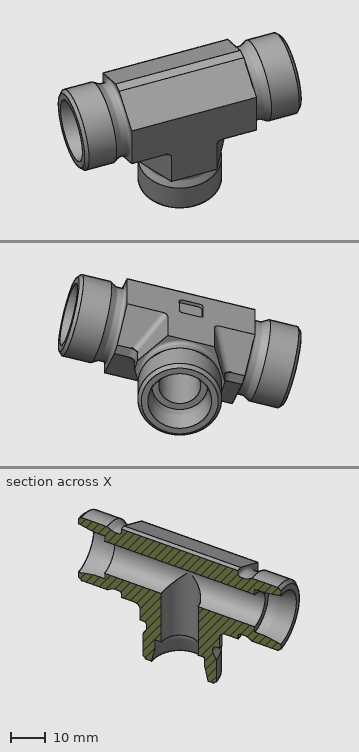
import cadquery as cq
import math

port_end = 33.0
run_half_length = 19.0
branch_depth = 19.0

across_flats = 24.0
corner_flat_width = 3.0
hexagon_half_sector = math.radians(30)
junction_fillet = 2.0

thread_diameter = 24.0
relief_diameter = 21.7
port_chamfer = 1.0
shoulder_fillet = 1.0
runout_fillet = 1.0
runout_angle = 30.0
runout_end = 23.6

bore_diameter = 12.0
socket_diameter = 16.0
mouth_diameter = 18.3
mouth_half_angle = 12.0
socket_depth = 8.5

panel_size = 7.0
panel_depth = 1.0
panel_drop = 1.0
panel_corner_radius = 1.0


def cut_hexagon(plane):
    """Hexagon on the given plane: flats at +-x, the corners on the other axis cut flat."""
    half_width = across_flats / 2
    side_corner = half_width * math.tan(hexagon_half_sector)
    flat_half = corner_flat_width / 2
    flat_height = (across_flats - flat_half) * math.tan(hexagon_half_sector)
    right_corners = [(half_width, side_corner), (flat_half, flat_height)]
    upper = right_corners + [(-x, y) for x, y in reversed(right_corners)]
    lower = [(-x, -y) for x, y in upper]
    return cq.Workplane(plane).polyline(upper + lower).close()


def hexagonal_body():
    """Run and branch hexagons, with the concave edges between them rounded."""
    run = cut_hexagon("XZ").extrude(run_half_length, both=True)
    branch = cut_hexagon("XY").extrude(-branch_depth)
    body = run.union(branch)
    tolerance = 0.001
    concave_edges = [
        edge
        for edge in body.edges().vals()
        if abs(abs(edge.Center().y) + edge.Center().z) < tolerance
    ]
    return body.newObject(concave_edges).fillet(junction_fillet)


def along_port(profile, end_direction):
    """Revolve an (axial, radial) profile about X and turn it toward a port."""
    solid = profile.close().revolve(360, (0, 0, 0), (1, 0, 0))
    if end_direction == "-Z":
        return solid.rotate((0, 0, 0), (0, 1, 0), 90)
    turn = 90 if end_direction == "+Y" else -90
    return solid.rotate((0, 0, 0), (0, 0, 1), turn)


def port_outside(end_direction):
    """Solid port: filleted relief groove, runout cone, thread cylinder and end chamfer."""
    thread_radius = thread_diameter / 2
    relief_radius = relief_diameter / 2
    angle = math.radians(runout_angle)
    runout_start = runout_end - (thread_radius - relief_radius) / math.tan(angle)
    arc_start = runout_start - runout_fillet * math.tan(angle / 2)

    def runout_arc(turn):
        axial = arc_start + runout_fillet * math.sin(turn)
        radial = relief_radius + runout_fillet * (1 - math.cos(turn))
        return axial, radial

    shoulder_center = (run_half_length + shoulder_fillet, relief_radius + shoulder_fillet)
    shoulder_reach = shoulder_fillet / math.sqrt(2)
    shoulder_middle = (shoulder_center[0] - shoulder_reach, shoulder_center[1] - shoulder_reach)
    profile = (
        cq.Workplane("XY")
        .moveTo(0, 0)
        .lineTo(0, relief_radius)
        .lineTo(run_half_length, relief_radius)
        .lineTo(run_half_length, shoulder_center[1])
        .threePointArc(shoulder_middle, (shoulder_center[0], relief_radius))
        .lineTo(arc_start, relief_radius)
        .threePointArc(runout_arc(angle / 2), runout_arc(angle))
        .lineTo(runout_end, thread_radius)
        .lineTo(port_end - port_chamfer, thread_radius)
        .lineTo(port_end, thread_radius - port_chamfer)
        .lineTo(port_end, 0)
    )
    return along_port(profile, end_direction)


def port_cavity(end_direction):
    """Bore from the axis crossing, widening to the pipe socket and the sealing cone."""
    bore_radius = bore_diameter / 2
    socket_radius = socket_diameter / 2
    mouth_radius = mouth_diameter / 2
    cone_depth = (mouth_radius - socket_radius) / math.tan(math.radians(mouth_half_angle))
    profile = (
        cq.Workplane("XY")
        .moveTo(0, 0)
        .lineTo(0, bore_radius)
        .lineTo(port_end - socket_depth, bore_radius)
        .lineTo(port_end - socket_depth, socket_radius)
        .lineTo(port_end - cone_depth, socket_radius)
        .lineTo(port_end, mouth_radius)
        .lineTo(port_end, 0)
    )
    return along_port(profile, end_direction)


def side_panel():
    """Shallow rounded square cut into the -X flat."""
    return (
        cq.Workplane("YZ", origin=(-across_flats / 2, 0, -panel_drop))
        .rect(panel_size, panel_size)
        .extrude(panel_depth)
        .edges("|X")
        .fillet(panel_corner_radius)
    )


port_directions = ("+Y", "-Y", "-Z")

result = hexagonal_body()
for direction in port_directions:
    result = result.union(port_outside(direction))
for direction in port_directions:
    result = result.cut(port_cavity(direction))
result = result.cut(side_panel())